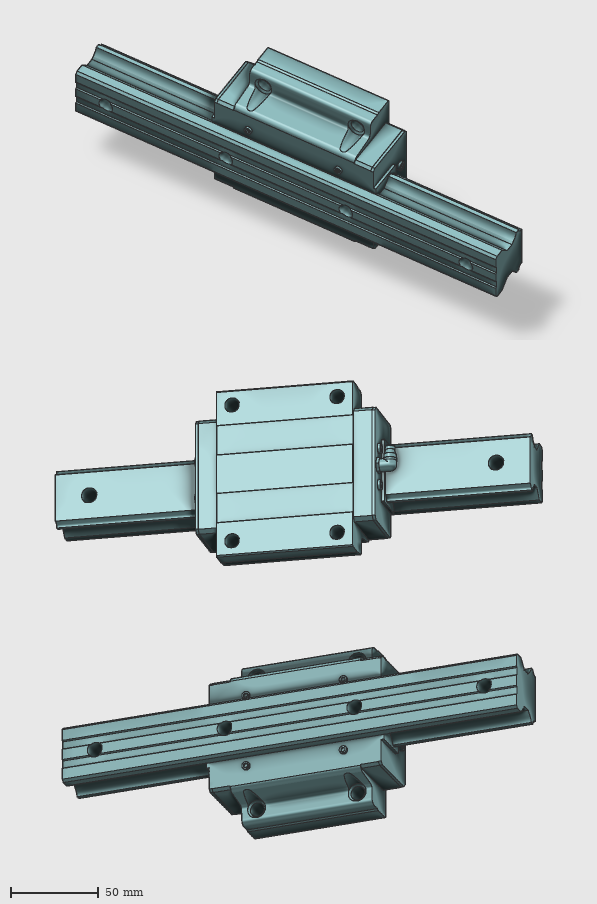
import cadquery as cq
import math


RAIL_LENGTH = 280.0
RAIL_HEIGHT = 29.0
RAIL_HALF_WIDTH = 17.0
RAIL_HOLE_DIAMETER = 9.0
RAIL_HOLE_PITCH = 80.0
RAIL_HOLE_COUNT = 4
FOOT_CHAMFER = 1.5
FOOT_SIDE_HEIGHT = 7.0
WAIST_HALF_WIDTH = 11.4
WAIST_BOTTOM = FOOT_SIDE_HEIGHT + RAIL_HALF_WIDTH - WAIST_HALF_WIDTH
WAIST_TOP = 18.0
RELIEF_DEPTH = 0.8
RELIEF_OUTER = 8.8
RELIEF_INNER = 3.2
RELIEF_RAMP = 0.6
TIP_TOP = 25.6
TIP_BOTTOM = 22.9
TOP_HALF_WIDTH = 14.0
UPPER_TRACK_MIDDLE = (26.9, 14.6)
LOWER_TRACK_MIDDLE = (21.0, 13.9)
LOWER_TRACK_END = (19.4, 12.6)

CARRIAGE_TOP = 48.0
CARRIAGE_BOTTOM = 9.0
BLOCK_LENGTH = 80.4
FLANGE_HALF_WIDTH = 50.0
FLANGE_THICKNESS = 21.0
FLANGE_BOTTOM = CARRIAGE_TOP - FLANGE_THICKNESS
FLANGE_TOP_CHAMFER = 0.8
FLANGE_EDGE_BOTTOM = 36.5
FLANGE_EDGE_RAMP = 1.5
FLANGE_EDGE_SETBACK = 0.6
FLANGE_CORNER_RADIUS = 3.4
SIDE_TOP_HALF_WIDTH = 38.3
SIDE_BOTTOM_HALF_WIDTH = 35.9
SIDE_BOTTOM = 12.0
BOTTOM_HALF_WIDTH = 33.0
BOTTOM_ROUND_MIDDLE = (10.2, 34.8)
SIDE_ROOT_RADIUS = 3.0
TOP_RELIEF_DEPTH = 0.6
TOP_RELIEF_INNER = 11.6
TOP_RELIEF_OUTER = 29.3

BOLT_SPACING_X = 62.0
BOLT_SPACING_Z = 82.0
BOLT_HOLE_DIAMETER = 8.5
BOLT_HOLE_MOUTH_DIAMETER = 11.0
BOLT_HOLE_CHAMFER = (BOLT_HOLE_MOUTH_DIAMETER - BOLT_HOLE_DIAMETER) / 2

CAP_END = 53.0
CAP_TOP = 46.4
CAP_HALF_WIDTH = 34.2
CAP_TOP_CHAMFER = 2.3
CAP_BOTTOM_CHAMFER = 1.7
END_PLATE_THICKNESS = 1.7
END_PLATE_INSET = 0.15
SEAL_END = 54.7
SEAL_TOP = 31.3
SEAL_HALF_WIDTH = 19.0
SEAL_CORNER_CHAMFER = 0.6

END_SCREW_DIAMETER = 5.8
END_SCREW_SOCKET = 3.6
END_SCREW_HEIGHT = 38.3
END_SCREW_OFFSET_Z = 11.0
BOTTOM_SCREW_DIAMETER = 4.6
BOTTOM_SCREW_SOCKET = 2.6
BOTTOM_SCREW_HEAD = 1.5
BOTTOM_SCREW_SPACING_X = 60.0
BOTTOM_SCREW_SPACING_Z = 44.0
SOCKET_DEPTH = 1.0

NIPPLE_HEIGHT = 40.2
NIPPLE_HEX_ACROSS_CORNERS = 9.4
NIPPLE_HEX_THICKNESS = SEAL_END - CAP_END
NIPPLE_ELBOW_X = -60.3
NIPPLE_ELBOW_DIAMETER = 7.6
NIPPLE_STEM_STEPS = [(7.6, 2.2), (8.0, 3.6), (7.2, 6.2)]
NIPPLE_NECK_BASE_DIAMETER = 6.6
NIPPLE_NECK_TOP_DIAMETER = 5.4
NIPPLE_NECK_TOP = 8.8
NIPPLE_HEAD_DIAMETER = 5.8
NIPPLE_HEAD_TOP = 11.6
NIPPLE_HEAD_CHAMFER = 1.0


def rail_section():
    """Half section on the +Z side of the rail, drawn in the YZ plane."""
    return (
        cq.Workplane("YZ")
        .moveTo(0, 0)
        .lineTo(0, RELIEF_INNER)
        .lineTo(RELIEF_DEPTH, RELIEF_INNER + RELIEF_RAMP)
        .lineTo(RELIEF_DEPTH, RELIEF_OUTER - RELIEF_RAMP)
        .lineTo(0, RELIEF_OUTER)
        .lineTo(0, RAIL_HALF_WIDTH - FOOT_CHAMFER)
        .lineTo(FOOT_CHAMFER, RAIL_HALF_WIDTH)
        .lineTo(FOOT_SIDE_HEIGHT, RAIL_HALF_WIDTH)
        .lineTo(WAIST_BOTTOM, WAIST_HALF_WIDTH)
        .lineTo(WAIST_TOP, WAIST_HALF_WIDTH)
        .lineTo(*LOWER_TRACK_END)
        .threePointArc(LOWER_TRACK_MIDDLE, (TIP_BOTTOM, RAIL_HALF_WIDTH))
        .lineTo(TIP_TOP, RAIL_HALF_WIDTH)
        .threePointArc(UPPER_TRACK_MIDDLE, (RAIL_HEIGHT, TOP_HALF_WIDTH))
        .lineTo(RAIL_HEIGHT, 0)
        .close()
    )


def both_sides(half):
    """Join a +Z half with its mirror image."""
    return half.union(half.mirror("XY")).clean()


def make_rail_bar():
    return both_sides(rail_section().extrude(RAIL_LENGTH / 2, both=True))


def make_rail():
    holes = (
        cq.Workplane("XZ")
        .rarray(RAIL_HOLE_PITCH, 1, RAIL_HOLE_COUNT, 1)
        .circle(RAIL_HOLE_DIAMETER / 2)
        .extrude(-RAIL_HEIGHT)
    )
    return make_rail_bar().cut(holes)


def make_block():
    """Flanged block with tapered sides and two shallow grooves along the mounting face."""
    edge_half_width = FLANGE_HALF_WIDTH - FLANGE_EDGE_SETBACK
    flange_corner = (FLANGE_BOTTOM, edge_half_width)
    side_root = (FLANGE_BOTTOM, SIDE_TOP_HALF_WIDTH)
    side_bottom = (SIDE_BOTTOM, SIDE_BOTTOM_HALF_WIDTH)
    relief_floor = CARRIAGE_TOP - TOP_RELIEF_DEPTH
    outline = [
        side_bottom,
        side_root,
        flange_corner,
        (FLANGE_EDGE_BOTTOM - FLANGE_EDGE_RAMP, edge_half_width),
        (FLANGE_EDGE_BOTTOM, FLANGE_HALF_WIDTH),
        (CARRIAGE_TOP - FLANGE_TOP_CHAMFER, FLANGE_HALF_WIDTH),
        (CARRIAGE_TOP, FLANGE_HALF_WIDTH - FLANGE_TOP_CHAMFER),
        (CARRIAGE_TOP, TOP_RELIEF_OUTER),
        (relief_floor, TOP_RELIEF_OUTER),
        (relief_floor, TOP_RELIEF_INNER),
        (CARRIAGE_TOP, TOP_RELIEF_INNER),
        (CARRIAGE_TOP, 0),
    ]
    half = (
        cq.Workplane("YZ")
        .moveTo(CARRIAGE_BOTTOM, 0)
        .lineTo(CARRIAGE_BOTTOM, BOTTOM_HALF_WIDTH)
        .threePointArc(BOTTOM_ROUND_MIDDLE, side_bottom)
        .polyline(outline, includeCurrent=False)
        .close()
        .extrude(BLOCK_LENGTH / 2, both=True)
    )
    rounded_corners = [
        (flange_corner, FLANGE_CORNER_RADIUS),
        (side_root, SIDE_ROOT_RADIUS),
    ]
    for (y, z), radius in rounded_corners:
        corner = cq.selectors.NearestToPointSelector((0, y, z))
        half = half.edges("|X").edges(corner).fillet(radius)
    return both_sides(half)


def make_bolt_cutter():
    """Flange hole with a chamfered lower mouth and tool clearance down the block side."""
    hole_radius = BOLT_HOLE_DIAMETER / 2
    mouth_radius = BOLT_HOLE_MOUTH_DIAMETER / 2
    outline = [
        (0, CARRIAGE_BOTTOM),
        (mouth_radius, CARRIAGE_BOTTOM),
        (mouth_radius, FLANGE_BOTTOM),
        (hole_radius, FLANGE_BOTTOM + BOLT_HOLE_CHAMFER),
        (hole_radius, CARRIAGE_TOP),
        (0, CARRIAGE_TOP),
    ]
    return cq.Workplane("XY").polyline(outline).close().revolve(360, (0, 0, 0), (0, 1, 0))


def cap_layer(inner_x, outer_x, inset):
    """One slice of an end cap, narrowed by the inset on its top and sides."""
    top = CAP_TOP - inset
    half_width = CAP_HALF_WIDTH - inset
    outline = [
        (CARRIAGE_BOTTOM, 0),
        (CARRIAGE_BOTTOM, half_width - CAP_BOTTOM_CHAMFER),
        (CARRIAGE_BOTTOM + CAP_BOTTOM_CHAMFER, half_width),
        (top - CAP_TOP_CHAMFER, half_width),
        (top, half_width - CAP_TOP_CHAMFER),
        (top, 0),
    ]
    start = cq.Workplane("YZ", origin=(inner_x, 0, 0))
    return both_sides(start.polyline(outline).close().extrude(outer_x - inner_x))


def make_end_screw(z):
    """Socket screw head on the +X end plate, level with the face of the seal."""
    return (
        cq.Workplane("YZ", origin=(CAP_END, END_SCREW_HEIGHT, z))
        .circle(END_SCREW_DIAMETER / 2)
        .extrude(SEAL_END - CAP_END)
        .faces(">X")
        .workplane()
        .polygon(6, END_SCREW_SOCKET)
        .cutBlind(-SOCKET_DEPTH)
    )


def make_end():
    """Cap, end plate, seal and screws at the +X end of the carriage."""
    plate_start = CAP_END - END_PLATE_THICKNESS
    end = cap_layer(BLOCK_LENGTH / 2, plate_start, 0)
    end = end.union(cap_layer(plate_start, CAP_END, END_PLATE_INSET))
    seal_thickness = SEAL_END - CAP_END
    seal_height = SEAL_TOP - CARRIAGE_BOTTOM
    seal = (
        cq.Workplane("XY")
        .box(seal_thickness, seal_height, 2 * SEAL_HALF_WIDTH, centered=(False, False, True))
        .translate((CAP_END, CARRIAGE_BOTTOM, 0))
        .edges("|X and >Y")
        .chamfer(SEAL_CORNER_CHAMFER)
    )
    end = end.union(seal)
    for z in (-END_SCREW_OFFSET_Z, END_SCREW_OFFSET_Z):
        end = end.union(make_end_screw(z))
    return end


def make_bottom_screws():
    """Four socket screw heads under the carriage."""
    return (
        cq.Workplane("XZ", origin=(0, CARRIAGE_BOTTOM, 0))
        .rarray(BOTTOM_SCREW_SPACING_X, BOTTOM_SCREW_SPACING_Z, 2, 2)
        .circle(BOTTOM_SCREW_DIAMETER / 2)
        .extrude(BOTTOM_SCREW_HEAD)
        .faces("<Y")
        .workplane(origin=(0, 0, 0))
        .rarray(BOTTOM_SCREW_SPACING_X, BOTTOM_SCREW_SPACING_Z, 2, 2)
        .circle(BOTTOM_SCREW_SOCKET / 2)
        .cutBlind(-SOCKET_DEPTH)
    )


def make_carriage():
    carriage = make_block()
    for x in (-BOLT_SPACING_X / 2, BOLT_SPACING_X / 2):
        for z in (-BOLT_SPACING_Z / 2, BOLT_SPACING_Z / 2):
            carriage = carriage.cut(make_bolt_cutter().translate((x, 0, z)))
    end = make_end()
    carriage = carriage.union(end).union(end.mirror("YZ"))
    carriage = carriage.cut(make_rail_bar())
    return carriage.union(make_bottom_screws())


def make_nipple():
    """Elbow grease nipple on the -X end plate, with its stem turned up along +Z."""
    hexagon = (
        cq.Workplane("YZ", origin=(-CAP_END, NIPPLE_HEIGHT, 0))
        .polygon(6, NIPPLE_HEX_ACROSS_CORNERS)
        .extrude(-NIPPLE_HEX_THICKNESS)
    )
    elbow_radius = NIPPLE_ELBOW_DIAMETER / 2
    diagonal = elbow_radius * math.sqrt(0.5)
    arm = (
        cq.Workplane("XZ")
        .moveTo(-SEAL_END, 0)
        .lineTo(-SEAL_END, -elbow_radius)
        .lineTo(NIPPLE_ELBOW_X, -elbow_radius)
        .threePointArc((NIPPLE_ELBOW_X - diagonal, -diagonal), (NIPPLE_ELBOW_X - elbow_radius, 0))
        .close()
        .revolve(360, (0, 0, 0), (1, 0, 0))
        .translate((0, NIPPLE_HEIGHT, 0))
    )

    stem_outline = [(0, 0)]
    step_bottom = 0
    for diameter, step_top in NIPPLE_STEM_STEPS:
        stem_outline += [(diameter / 2, step_bottom), (diameter / 2, step_top)]
        step_bottom = step_top
    head_radius = NIPPLE_HEAD_DIAMETER / 2
    stem_outline += [
        (NIPPLE_NECK_BASE_DIAMETER / 2, step_bottom),
        (NIPPLE_NECK_TOP_DIAMETER / 2, NIPPLE_NECK_TOP),
        (head_radius, NIPPLE_NECK_TOP),
        (head_radius, NIPPLE_HEAD_TOP - NIPPLE_HEAD_CHAMFER),
        (head_radius - NIPPLE_HEAD_CHAMFER, NIPPLE_HEAD_TOP),
        (0, NIPPLE_HEAD_TOP),
    ]
    stem = (
        cq.Workplane("XZ")
        .polyline(stem_outline)
        .close()
        .revolve(360, (0, 0, 0), (0, 1, 0))
        .translate((NIPPLE_ELBOW_X, NIPPLE_HEIGHT, 0))
    )
    return hexagon.union(arm).union(stem)


rail = make_rail()
carriage = make_carriage()
nipple = make_nipple()

result = cq.Compound.makeCompound(
    [
        *rail.solids().vals(),
        *carriage.solids().vals(),
        *nipple.solids().vals(),
    ]
)